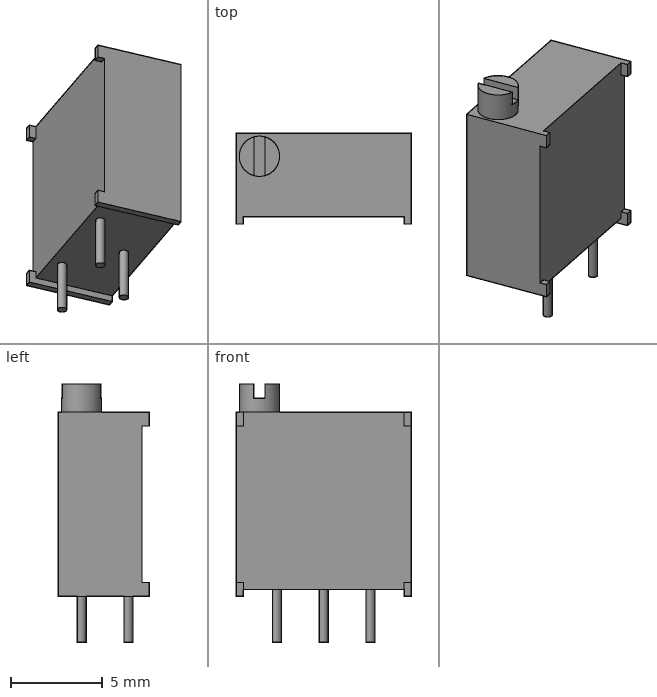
import cadquery as cq

housing_width = 9.53
overall_depth = 4.96
housing_height = 10.02
foot_width = 0.4
foot_height = 0.76
foot_projection = 0.4
block_depth = overall_depth - foot_projection
channel_height = 0.37

screw_diameter = 2.19
screw_height = 1.53
screw_edge_distance = 1.26
slot_width = 0.6
slot_depth = screw_height / 2

pin_diameter = 0.5
pin_projection = 2.5
pin_pitch = 2.55
back_pin_y = -1.28
front_pin_y = back_pin_y - pin_pitch
middle_pin_x = housing_width / 2
pin_positions = [
    (middle_pin_x - pin_pitch, front_pin_y),
    (middle_pin_x, back_pin_y),
    (middle_pin_x + pin_pitch, front_pin_y),
]


def box_at(corner, width, depth, height):
    """Box that extends from its lowest X, Y, Z corner."""
    return cq.Workplane("XY").box(width, depth, height, centered=False).translate(corner)


def make_housing():
    """Block with four corner feet on its front and an open channel along its underside."""
    housing = box_at((0, -block_depth, 0), housing_width, block_depth, housing_height)
    for foot_x in (0, housing_width - foot_width):
        for foot_z in (0, housing_height - foot_height):
            foot_corner = (foot_x, -overall_depth, foot_z)
            housing = housing.union(box_at(foot_corner, foot_width, foot_projection, foot_height))
    channel_width = housing_width - 2 * foot_width
    channel = box_at((foot_width, -overall_depth, 0), channel_width, overall_depth, channel_height)
    return housing.cut(channel)


def make_screw():
    """Cylindrical screw head with a screwdriver slot running along Y."""
    head = cq.Workplane("XY").circle(screw_diameter / 2).extrude(screw_height)
    slot_corner = (-slot_width / 2, -screw_diameter / 2, screw_height - slot_depth)
    slot = box_at(slot_corner, slot_width, screw_diameter, slot_depth)
    return head.cut(slot).translate((screw_edge_distance, -screw_edge_distance, housing_height))


def make_pin(x, y):
    """Round pin from the channel ceiling down past the base."""
    pin_length = channel_height + pin_projection
    pin = cq.Workplane("XY").circle(pin_diameter / 2).extrude(pin_length)
    return pin.translate((x, y, -pin_projection))


housing = make_housing()
screw = make_screw()
pins = [make_pin(x, y).val() for x, y in pin_positions]

result = cq.Compound.makeCompound([housing.val(), screw.val(), *pins])